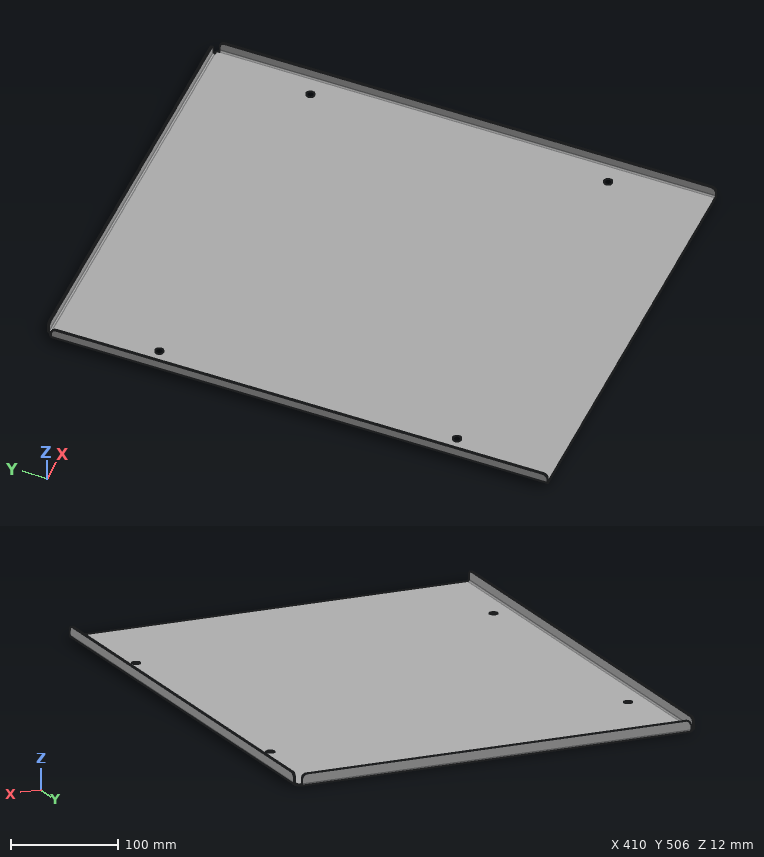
import cadquery as cq
import math

width = 410.0
depth = 506.0
height = 12.0

sheet = 1.5
outer_bend_radius = 3.0
inner_bend_radius = outer_bend_radius - sheet
flange_setback = 2 * outer_bend_radius
flange_corner_radius = 5.0
floor_corner_radius = 2.0

hole_diameter = 7.5
countersink_diameter = 10.4
countersink_angle = 90.0
hole_spacing_x = 366.0
hole_spacing_y = 300.0
front_hole_distance = 100.0

front_y = -depth / 2
back_y = depth / 2
side_flange_length = depth - flange_setback
back_flange_length = width - 2 * flange_setback


def make_side_channel():
    """Floor with both long side flanges, folded up from the same sheet."""
    outside = (
        cq.Workplane("XY")
        .box(width, side_flange_length, height, centered=(True, False, False))
        .edges("|Y and <Z")
        .fillet(outer_bend_radius)
    )
    inside = (
        cq.Workplane("XY")
        .workplane(offset=sheet)
        .box(width - 2 * sheet, side_flange_length, height, centered=(True, False, False))
        .edges("|Y and <Z")
        .fillet(inner_bend_radius)
    )
    channel = outside.cut(inside).translate((0, front_y, 0))
    return channel.edges("|X and >Z").fillet(flange_corner_radius)


def make_floor():
    """Flat floor out to the start of the bends, with rounded back corners."""
    floor_width = width - 2 * outer_bend_radius
    floor_depth = depth - outer_bend_radius
    floor = cq.Workplane("XY").box(floor_width, floor_depth, sheet, centered=(True, False, False))
    return floor.edges("|Z and >Y").fillet(floor_corner_radius).translate((0, front_y, 0))


def make_back_flange():
    """Back flange with the bend that joins it to the floor."""
    bend_start_y = back_y - outer_bend_radius
    flange = (
        cq.Workplane("YZ")
        .moveTo(bend_start_y, 0)
        .radiusArc((back_y, outer_bend_radius), -outer_bend_radius)
        .lineTo(back_y, height)
        .lineTo(back_y - sheet, height)
        .lineTo(back_y - sheet, outer_bend_radius)
        .radiusArc((bend_start_y, sheet), inner_bend_radius)
        .close()
        .extrude(back_flange_length / 2, both=True)
    )
    return flange.edges("|Y and >Z").fillet(flange_corner_radius)


def make_hole_cutter():
    """Revolved cutter for one through hole with a countersink in the underside."""
    hole_radius = hole_diameter / 2
    countersink_radius = countersink_diameter / 2
    half_angle = math.radians(countersink_angle / 2)
    countersink_depth = (countersink_radius - hole_radius) / math.tan(half_angle)
    return (
        cq.Workplane("XZ")
        .lineTo(countersink_radius, 0)
        .lineTo(hole_radius, countersink_depth)
        .lineTo(hole_radius, sheet)
        .lineTo(0, sheet)
        .close()
        .revolve(360, (0, 0, 0), (0, 1, 0))
    )


def drill_mounting_holes(body):
    """Four mounting holes, two along each side flange."""
    cutter = make_hole_cutter()
    first_y = front_y + front_hole_distance
    for x in (-hole_spacing_x / 2, hole_spacing_x / 2):
        for y in (first_y, first_y + hole_spacing_y):
            body = body.cut(cutter.translate((x, y, 0)))
    return body


tray = make_side_channel().union(make_floor()).union(make_back_flange())
result = drill_mounting_holes(tray)